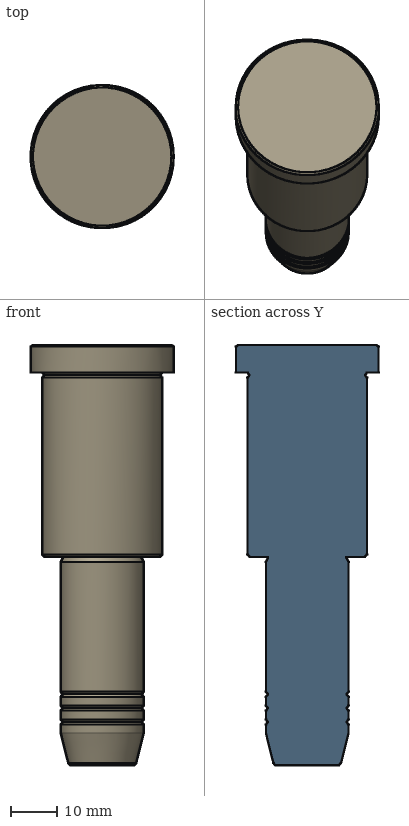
import cadquery as cq

total_length = 91.0
head_height = 6.0
body_bottom = 45.0
taper_height = 7.0
body_top = total_length - head_height

head_radius = 15.52
body_radius = 13.0
pin_radius = 9.0
tip_radius = 7.4

head_chamfer_width = 0.55
head_chamfer_height = 0.4
body_chamfer = 0.55
shoulder_width = 0.55
shoulder_height = 1.0
tip_chamfer_width = 0.5
tip_chamfer_height = 0.5

groove_width = 1.1
groove_depth = 0.5
ring_groove_count = 3
ring_groove_pitch = 3.0
lowest_ring_groove = 9.4


def revolve_profile(points):
    """Revolve a closed (radius, height) outline about the Z axis."""
    return cq.Workplane("XZ").polyline(points).close().revolve(360, (0, 0, 0), (0, 1, 0))


def v_groove(radius, center_height):
    """Ring-shaped cutter with its V opening at the given surface radius."""
    half_width = groove_width / 2
    return revolve_profile([
        (radius, center_height - half_width),
        (radius - groove_depth, center_height),
        (radius, center_height + half_width),
    ])


result = revolve_profile([
    (0, 0),
    (tip_radius - tip_chamfer_width, 0),
    (tip_radius, tip_chamfer_height),
    (pin_radius, taper_height),
    (pin_radius, body_bottom - shoulder_height),
    (pin_radius - shoulder_width, body_bottom),
    (body_radius - body_chamfer, body_bottom),
    (body_radius, body_bottom + body_chamfer),
    (body_radius, body_top),
    (head_radius, body_top),
    (head_radius, total_length - head_chamfer_height),
    (head_radius - head_chamfer_width, total_length),
    (0, total_length),
])

result = result.cut(v_groove(body_radius, body_top - groove_width / 2))

for index in range(ring_groove_count):
    groove_height = lowest_ring_groove + index * ring_groove_pitch
    result = result.cut(v_groove(pin_radius, groove_height))